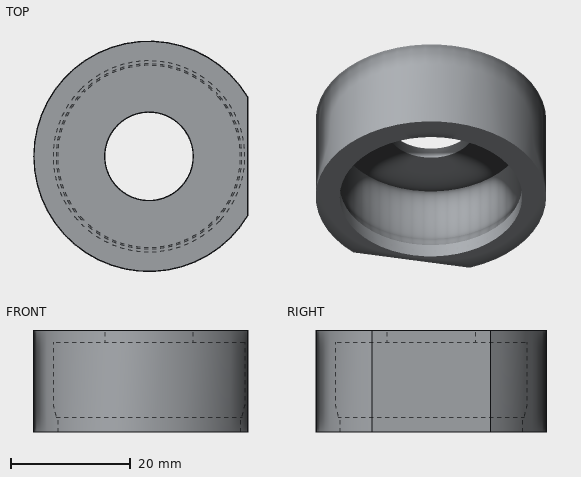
import cadquery as cq

outer_diameter = 38.5
height = 17.0
flat_distance = 16.5

lip_hole_diameter = 14.75
lip_thickness = 2.0
cavity_diameter = 32.0
cavity_bottom_z = 4.5
taper_bottom_diameter = 31.0
taper_bottom_z = 2.5
mouth_diameter = 30.5


def make_body():
    """Cylinder standing on Z = 0 with one flat side facing +X."""
    cylinder = cq.Workplane("XY").circle(outer_diameter / 2).extrude(height)
    beyond_flat = (
        cq.Workplane("XY")
        .box(outer_diameter, outer_diameter, height, centered=(False, True, False))
        .translate((flat_distance, 0, 0))
    )
    return cylinder.cut(beyond_flat)


def make_bore():
    """Revolved inside: hole through the lip, wide cavity, taper and narrower mouth."""
    cavity_top_z = height - lip_thickness
    profile = [
        (0, 0),
        (mouth_diameter / 2, 0),
        (mouth_diameter / 2, taper_bottom_z),
        (taper_bottom_diameter / 2, taper_bottom_z),
        (cavity_diameter / 2, cavity_bottom_z),
        (cavity_diameter / 2, cavity_top_z),
        (lip_hole_diameter / 2, cavity_top_z),
        (lip_hole_diameter / 2, height),
        (0, height),
    ]
    axis_start = (0, 0)
    axis_end = (0, height)
    return cq.Workplane("XZ").polyline(profile).close().revolve(360, axis_start, axis_end)


result = make_body().cut(make_bore())